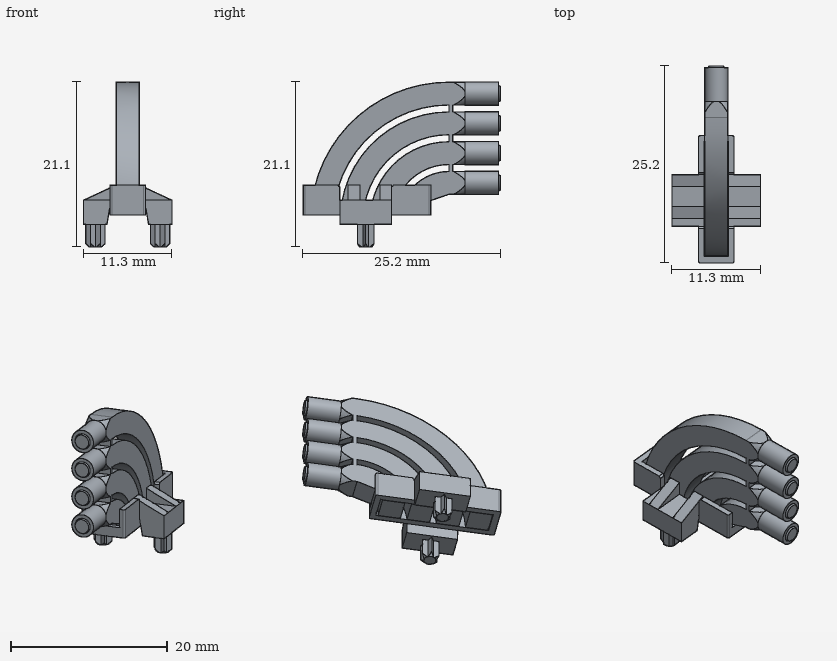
import cadquery as cq
import math


bar_count = 4
bar_pitch = 3.8
bar_side = 2.94
bend_center_z = 0.51
first_bend_radius = 4.8
bend_radii = [first_bend_radius + i * bar_pitch for i in range(bar_count)]
web_length = 0.53
lowest_underside_slope = 19
rod_radius = 1.5
rod_start_y = 2.05
rod_end_y = 6.35
flare_start_y = 0.6
tip_base_radius = 1.04
tip_end_radius = 0.93
tip_length = 0.24

sleeve_bottom_z = 1.2
sleeve_top_z = 5.02
sleeve_back_y = -2.3
sleeve_front_y = -18.61
sleeve_half_width = 2.275
sleeve_corner_radius = 0.25
pocket_clearance = 0.06
pocket_half_width = bar_side / 2 + pocket_clearance
pocket_front_y = -(bend_radii[-1] + bar_side / 2 + pocket_clearance)
back_wall = sleeve_half_width - pocket_half_width
back_wall_top_z = 2.55

foot_half_span = 5.655
foot_back_y = -7.3
foot_front_y = -13.92
foot_height = 3.1
foot_inner_bottom_x = 2.65
foot_inner_taper_height = 2.2
opening_chamfer = 0.25
rib_thickness = 1.52
rib_offsets = (0, 4.05)

pin_x = 4.13
pin_y = (foot_back_y + foot_front_y) / 2
pin_length = 2.9
pin_points = 6
pin_outer_radius = 1.25
pin_inner_radius = pin_outer_radius / math.sqrt(3)
pin_chamfer = 0.48


def box(x0, x1, y0, y1, z0, z1):
    """Axis-aligned box between two corners."""
    return cq.Workplane("XY").box(x1 - x0, y1 - y0, z1 - z0, centered=False).translate((x0, y0, z0))


def extrude_along_y(points, y0, y1):
    """Closed XZ outline extruded from y0 up to y1."""
    return cq.Workplane("XZ", origin=(0, y1, 0)).polyline(points).close().extrude(y1 - y0)


def turned_along_y(profile, axis_z):
    """Solid of revolution about the Y-direction line at height axis_z, from (radius, y) points."""
    turned = cq.Workplane("XY").polyline(profile).close().revolve(360, (0, 0, 0), (0, 1, 0))
    return turned.translate((0, 0, axis_z))


def bent_bar(bend_radius):
    """Square bar bending from the bottom of the sleeve up to Y = 0."""
    inner = bend_radius - bar_side / 2
    outer = bend_radius + bar_side / 2
    bar = cq.Workplane("YZ", origin=(-bar_side / 2, 0, bend_center_z)).circle(outer)
    if bend_radius == bend_radii[0]:
        bar = bar.extrude(bar_side).cut(lowest_bar_hollow(inner))
    else:
        bar = bar.circle(inner).extrude(bar_side)
    quarter = box(-bar_side, bar_side, -2 * outer, 0, sleeve_bottom_z, bend_center_z + 2 * outer)
    return bar.intersect(quarter)


def lowest_bar_hollow(inner):
    """Space inside the lowest bend: a straight sloping underside instead of a round one."""
    slope_drop = inner * math.tan(math.radians(lowest_underside_slope))
    return (
        cq.Workplane("YZ", origin=(-bar_side / 2, 0, bend_center_z))
        .polyline([(0, 0), (0, inner), (-inner, inner - slope_drop), (-inner, 0)])
        .close()
        .extrude(bar_side)
    )


def rod_end(axis_z):
    """Square-to-round transition, round rod and raised tip that finish a bar."""
    half = bar_side / 2
    corner_radius = half * math.sqrt(2)
    square = box(-half, half, 0, rod_start_y, axis_z - half, axis_z + half)
    flare = turned_along_y(
        [
            (0, 0),
            (corner_radius, 0),
            (corner_radius, flare_start_y),
            (rod_radius, rod_start_y),
            (0, rod_start_y),
        ],
        axis_z,
    )
    rod = turned_along_y(
        [
            (0, rod_start_y),
            (rod_radius, rod_start_y),
            (rod_radius, rod_end_y),
            (tip_base_radius, rod_end_y),
            (tip_end_radius, rod_end_y + tip_length),
            (0, rod_end_y + tip_length),
        ],
        axis_z,
    )
    return square.intersect(flare).union(rod)


def make_light_pipe():
    lowest_axis_z = bend_center_z + bend_radii[0]
    highest_axis_z = bend_center_z + bend_radii[-1]
    pipe = box(-bar_side / 2, bar_side / 2, 0, web_length, lowest_axis_z, highest_axis_z)
    for bend_radius in bend_radii:
        pipe = pipe.union(bent_bar(bend_radius))
        pipe = pipe.union(rod_end(bend_center_z + bend_radius))
    return pipe


def make_sleeve():
    """Round-cornered tube with a low back wall and with its side walls cut down above the feet."""
    sleeve = box(
        -sleeve_half_width, sleeve_half_width, sleeve_front_y, sleeve_back_y, sleeve_bottom_z, sleeve_top_z
    )
    sleeve = sleeve.edges("|Z").fillet(sleeve_corner_radius)
    pocket_back_y = sleeve_back_y - back_wall
    pocket = box(
        -pocket_half_width, pocket_half_width, pocket_front_y, pocket_back_y, sleeve_bottom_z, sleeve_top_z
    )
    back_opening = box(
        -pocket_half_width, pocket_half_width, pocket_back_y, sleeve_back_y, back_wall_top_z, sleeve_top_z
    )
    chamfer_z = sleeve_top_z - opening_chamfer
    side_opening = (
        cq.Workplane("YZ", origin=(-sleeve_half_width, 0, 0))
        .polyline([
            (foot_front_y, back_wall_top_z),
            (foot_back_y, back_wall_top_z),
            (foot_back_y, chamfer_z),
            (foot_back_y + opening_chamfer, sleeve_top_z),
            (foot_front_y - opening_chamfer, sleeve_top_z),
            (foot_front_y, chamfer_z),
        ])
        .close()
        .extrude(2 * sleeve_half_width)
    )
    return sleeve.cut(pocket).cut(back_opening).cut(side_opening)


def make_pin():
    """Six-pointed star pin under the +X foot, with a conical lead-in at its end."""
    corners = []
    for i in range(2 * pin_points):
        radius = pin_inner_radius if i % 2 else pin_outer_radius
        angle = math.pi * i / pin_points
        corners.append((radius * math.cos(angle), radius * math.sin(angle)))
    star = cq.Workplane("XY").polyline(corners).close().extrude(-pin_length)
    envelope = cq.Workplane("XY").circle(pin_outer_radius).extrude(-pin_length)
    envelope = envelope.faces("<Z").chamfer(pin_chamfer)
    return star.intersect(envelope).translate((pin_x, pin_y, 0))


def make_foot():
    """Foot on the +X side: a block with a tapered inner face, two sloping ribs and a pin."""
    foot = extrude_along_y(
        [
            (foot_inner_bottom_x, 0),
            (foot_half_span, 0),
            (foot_half_span, foot_height),
            (pocket_half_width, foot_height),
            (pocket_half_width, foot_inner_taper_height),
            (sleeve_half_width, foot_inner_taper_height),
        ],
        foot_front_y,
        foot_back_y,
    )
    rib_outline = [
        (pocket_half_width, back_wall_top_z),
        (foot_half_span, back_wall_top_z),
        (foot_half_span, foot_height),
        (pocket_half_width, sleeve_top_z),
    ]
    for offset in rib_offsets:
        rib_back_y = foot_back_y - offset
        foot = foot.union(extrude_along_y(rib_outline, rib_back_y - rib_thickness, rib_back_y))
    return foot.union(make_pin())


def make_housing():
    """Sleeve with a foot on each side."""
    foot = make_foot()
    return make_sleeve().union(foot).union(foot.mirror("YZ"))


light_pipe = make_light_pipe()
housing = make_housing()

result = cq.Compound.makeCompound([light_pipe.val(), housing.val()])